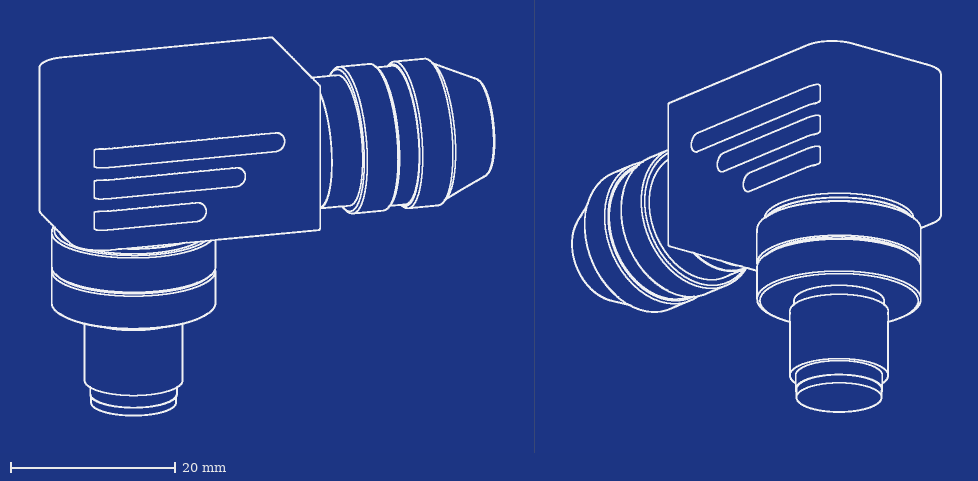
import cadquery as cq


housing_width = 20.0
housing_front = -10.0
housing_back = 20.8
housing_top = 10.75
housing_bottom = -7.87
front_corner_radius = 4.0
edge_rounding = 0.25
neck_radius = 7.9
neck_end = 22.85

groove_depth = 0.5
groove_width = 2.4
groove_floor_fillet = 0.25
groove_pitch = 4.0
groove_end_step = 5.0
middle_groove_end = 10.0

collar_step = -8.4
collar_upper_radius = 9.1
collar_radius = 9.0

ring_radius = 10.0
ring_top = -9.05
ring_gap_top = -13.65
ring_gap_bottom = -13.95
ring_bottom = -18.5
ring_gap_radius = 9.4
ring_chamfer_width = 0.35
ring_chamfer_height = 0.2
undercut_radius = 5.5
undercut_end = -19.85
thread_radius = 6.0
thread_end = -28.2
tip_radius = 5.3
tip_step = -30.0
tip_end_radius = 5.2
tip_end = -31.05

gland_radius = 8.0
gland_ring_radius = 9.0
gland_waist_radius = 8.5
gland_chamfer = 0.3
inner_ring_start = 26.75
inner_ring_end = 31.25
outer_ring_start = 33.8
outer_ring_end = 38.45
cone_base_chamfer = 0.5
cone_end_radius = 6.0
cone_end_chamfer = 0.2
gland_end = 44.25


def revolve_about_z(profile):
    """Revolve an outline of (radius, z) points about the Z axis."""
    return cq.Workplane("XZ").polyline(profile).close().revolve(360, (0, 0), (0, 1))


def revolve_about_y(profile):
    """Revolve an outline of (radius, y) points about the Y axis."""
    return cq.Workplane("XY").polyline(profile).close().revolve(360, (0, 0), (0, 1))


def grip_groove(end_y, z):
    """Groove in the -X side with a round end and a filleted floor, running out through the front corner."""
    middle_y = (end_y + housing_front) / 2
    length = end_y - housing_front + groove_width
    return (
        cq.Workplane("YZ", origin=(-housing_width / 2, middle_y, z))
        .slot2D(length, groove_width)
        .extrude(groove_depth)
        .faces(">X")
        .edges()
        .fillet(groove_floor_fillet)
    )


def make_housing():
    block = (
        cq.Workplane("XY", origin=(0, 0, housing_bottom))
        .center(0, (housing_front + housing_back) / 2)
        .rect(housing_width, housing_back - housing_front)
        .extrude(housing_top - housing_bottom)
        .edges("|Z and <Y")
        .fillet(front_corner_radius)
        .faces(">Z or <Z or >Y")
        .edges()
        .fillet(edge_rounding)
    )
    for row in (-1, 0, 1):
        groove = grip_groove(middle_groove_end + row * groove_end_step, row * groove_pitch)
        block = block.cut(groove).cut(groove.mirror("YZ"))

    neck = (
        cq.Workplane("XZ", origin=(0, housing_back, 0))
        .circle(neck_radius)
        .extrude(housing_back - neck_end)
    )
    collar = revolve_about_z([
        (0, housing_bottom),
        (collar_upper_radius, housing_bottom),
        (collar_upper_radius, collar_step),
        (collar_radius, collar_step),
        (collar_radius, ring_top),
        (0, ring_top),
    ])
    return block.union(neck).union(collar)


def make_coupling():
    chamfer_radius = ring_radius - ring_chamfer_width
    return revolve_about_z([
        (0, ring_top),
        (chamfer_radius, ring_top),
        (ring_radius, ring_top - ring_chamfer_height),
        (ring_radius, ring_gap_top),
        (ring_gap_radius, ring_gap_top),
        (ring_gap_radius, ring_gap_bottom),
        (chamfer_radius, ring_gap_bottom),
        (ring_radius, ring_gap_bottom - ring_chamfer_height),
        (ring_radius, ring_bottom + ring_chamfer_height),
        (chamfer_radius, ring_bottom),
        (undercut_radius, ring_bottom),
        (undercut_radius, undercut_end),
        (thread_radius, undercut_end),
        (thread_radius, thread_end),
        (tip_radius, thread_end),
        (tip_radius, tip_step),
        (tip_end_radius, tip_step),
        (tip_end_radius, tip_end),
        (0, tip_end),
    ])


def make_gland():
    chamfer_radius = gland_ring_radius - gland_chamfer
    return revolve_about_y([
        (0, neck_end),
        (gland_radius, neck_end),
        (gland_radius, inner_ring_start),
        (chamfer_radius, inner_ring_start),
        (gland_ring_radius, inner_ring_start + gland_chamfer),
        (gland_ring_radius, inner_ring_end - gland_chamfer),
        (chamfer_radius, inner_ring_end),
        (gland_waist_radius, inner_ring_end),
        (gland_waist_radius, outer_ring_start),
        (chamfer_radius, outer_ring_start),
        (gland_ring_radius, outer_ring_start + gland_chamfer),
        (gland_ring_radius, outer_ring_end - cone_base_chamfer),
        (gland_ring_radius - cone_base_chamfer, outer_ring_end),
        (cone_end_radius, gland_end - cone_end_chamfer),
        (cone_end_radius - cone_end_chamfer, gland_end),
        (0, gland_end),
    ])


housing = make_housing()
coupling = make_coupling()
gland = make_gland()

result = cq.Compound.makeCompound([housing.val(), coupling.val(), gland.val()])